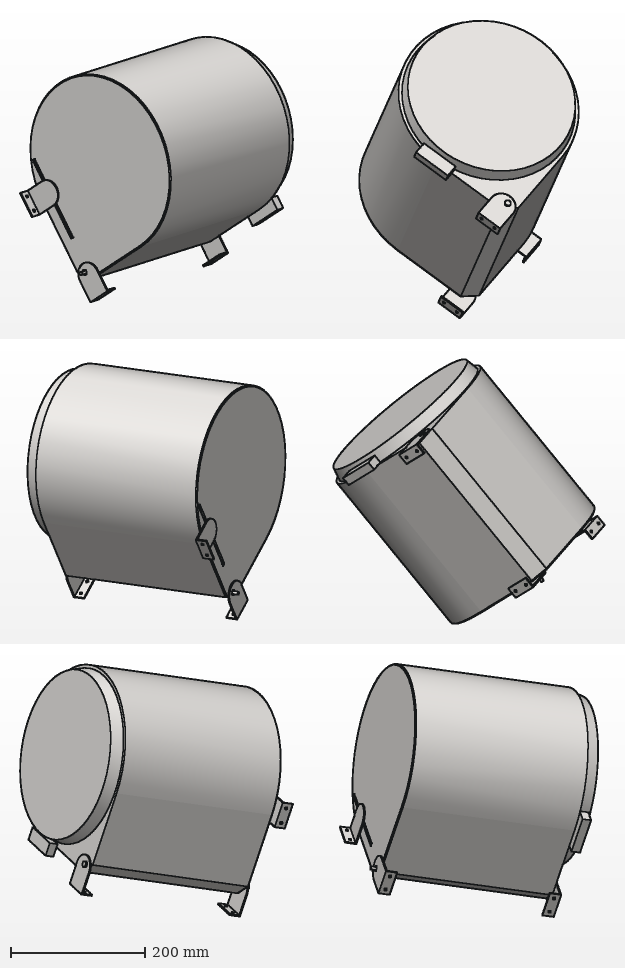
import cadquery as cq
import math

TILT = 35.0

drum_radius = 137.5
drum_length = 273.5
corner_cut_start = 117.3
front_edge_chamfer = 1.8
slot_along = -115.0
slot_low = -69.5
slot_high = 62.0
slot_width = 5.0
slot_depth = 3.5

collar_base_diameter = 264.2
collar_end_diameter = 255.0
collar_length = 19.7

bracket_width = 40.0
bracket_straight = 35.2
bracket_round_radius = bracket_width / 2
sheet_thickness = 2.0
flange_depth = 18.0
flange_hole_diameter = 4.0
flange_hole_spacing = 24.0
foot_along = -117.0
foot_edge_across = -166.3
side_edge_along = -153.0
side_across = 7.0

pivot_along = -121.2
pivot_across = -123.5
front_pin_diameter = 5.0
front_pin_length = 10.2
front_pivot_hole_diameter = 8.0
rear_pin_diameter = 9.0
rear_pin_length = 4.5

box_start = -27.5
box_length = 59.2
box_bottom = -153.0
box_depth = 13.7

front_face = 0.0
rear_face = front_face + drum_length
collar_base_radius = collar_base_diameter / 2


def workplane_at(y):
    """Plane across the drum axis at y; its local X is along, its local Y is across."""
    return cq.Workplane(cq.Plane(origin=(0, y, 0), xDir=(1, 0, 0), normal=(0, -1, 0)))


def disc(along, across, diameter, y_start, length):
    """Cylinder parallel to the drum axis, running from y_start toward the rear."""
    return workplane_at(y_start).center(along, across).circle(diameter / 2).extrude(-length)


def make_drum():
    arc_middle = drum_radius * math.sqrt(0.5)
    drum = (
        workplane_at(front_face)
        .moveTo(0, -drum_radius)
        .threePointArc((arc_middle, arc_middle), (-drum_radius, 0))
        .lineTo(-drum_radius, -corner_cut_start)
        .lineTo(-corner_cut_start, -drum_radius)
        .close()
        .extrude(-drum_length)
        .faces("<Y")
        .chamfer(front_edge_chamfer)
    )
    slot = (
        workplane_at(front_face)
        .center(slot_along, (slot_low + slot_high) / 2)
        .rect(slot_width, slot_high - slot_low)
        .extrude(-slot_depth)
    )
    return drum.cut(slot)


def make_collar():
    return (
        workplane_at(rear_face)
        .circle(collar_base_radius)
        .workplane(offset=-collar_length)
        .circle(collar_end_diameter / 2)
        .loft(ruled=True)
    )


def make_bracket():
    """Round-topped plate standing on local Z = 0, its front at Y = 0, with a flange toward +Y."""
    half_width = bracket_width / 2
    plate = (
        workplane_at(0)
        .moveTo(-half_width, 0)
        .lineTo(half_width, 0)
        .lineTo(half_width, bracket_straight)
        .threePointArc((0, bracket_straight + bracket_round_radius), (-half_width, bracket_straight))
        .close()
        .extrude(-sheet_thickness)
    )
    flange = cq.Workplane("XY").box(
        bracket_width, flange_depth, sheet_thickness, centered=(True, False, False)
    )
    holes = (
        cq.Workplane("XY")
        .pushPoints([(side * flange_hole_spacing / 2, flange_depth / 2) for side in (-1, 1)])
        .circle(flange_hole_diameter / 2)
        .extrude(sheet_thickness)
    )
    return plate.union(flange).cut(holes)


def make_front_foot_bracket():
    plate_front = front_face - sheet_thickness
    foot = make_bracket().translate((foot_along, plate_front, foot_edge_across))
    hole = disc(pivot_along, pivot_across, front_pivot_hole_diameter, plate_front, sheet_thickness)
    return foot.cut(hole)


def make_rear_foot_bracket():
    plate_rear = rear_face + sheet_thickness
    foot = make_bracket().mirror("XZ").translate((foot_along, plate_rear, foot_edge_across))
    hole = disc(pivot_along, pivot_across, rear_pin_diameter, rear_face, sheet_thickness)
    return foot.cut(hole)


def make_side_bracket():
    """Front bracket turned a quarter turn, with its flange pointing away from the drum."""
    return (
        make_bracket()
        .mirror("XZ")
        .rotate((0, 0, 0), (0, 1, 0), 90)
        .translate((side_edge_along, front_face, side_across))
    )


def make_front_pin():
    return disc(pivot_along, pivot_across, front_pin_diameter, front_face - front_pin_length, front_pin_length)


def make_rear_pin():
    return disc(pivot_along, pivot_across, rear_pin_diameter, rear_face, rear_pin_length)


def make_rear_box():
    """Block whose top touches the underside of the collar at its base."""
    box_height = -collar_base_radius - box_bottom
    return (
        cq.Workplane("XY")
        .box(box_length, box_depth, box_height, centered=False)
        .translate((box_start, rear_face, box_bottom))
    )


def tilted(body):
    """Turn a body from the local frame into its final position."""
    return body.rotate((0, 0, 0), (0, 1, 0), -TILT)


drum = tilted(make_drum())
collar = tilted(make_collar())
front_foot_bracket = tilted(make_front_foot_bracket())
rear_foot_bracket = tilted(make_rear_foot_bracket())
side_bracket = tilted(make_side_bracket())
front_pin = tilted(make_front_pin())
rear_pin = tilted(make_rear_pin())
rear_box = tilted(make_rear_box())

result = cq.Compound.makeCompound([
    drum.val(),
    collar.val(),
    front_foot_bracket.val(),
    rear_foot_bracket.val(),
    side_bracket.val(),
    front_pin.val(),
    rear_pin.val(),
    rear_box.val(),
])